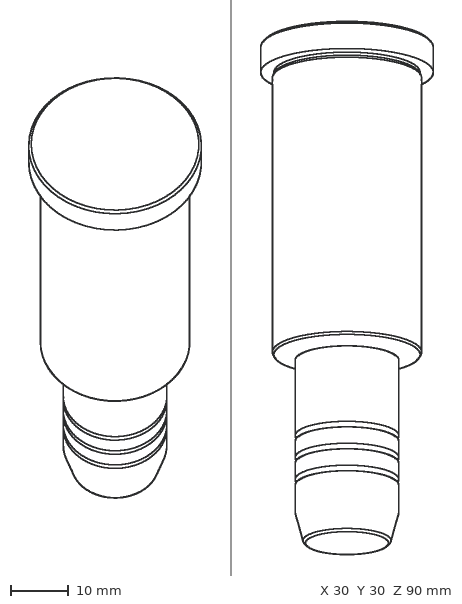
import cadquery as cq

total_height = 90.0
head_height = 5.0
shoulder_z = 34.0
taper_top_z = 5.5

head_radius = 14.985
body_radius = 13.0
body_neck_radius = 12.7
pin_radius = 9.0
taper_end_radius = 7.65

head_chamfer = 0.45
body_chamfer_height = 0.45
body_chamfer_depth = body_radius - body_neck_radius
body_neck_height = 0.5
tip_chamfer = 0.45
relief_width = 1.0

groove_width = 1.0
groove_pitch = 4.0
groove_count = 3
lowest_groove_z = 11.0

head_bottom_z = total_height - head_height
neck_bottom_z = head_bottom_z - body_neck_height


def add_groove(outline, center_z, width):
    """Continue the outline up the pin and through one half-round groove."""
    return outline.lineTo(pin_radius, center_z - width / 2).threePointArc(
        (pin_radius - width / 2, center_z),
        (pin_radius, center_z + width / 2),
    )


outline = (
    cq.Workplane("XZ")
    .lineTo(taper_end_radius - tip_chamfer, 0)
    .lineTo(taper_end_radius, tip_chamfer)
    .lineTo(pin_radius, taper_top_z)
)

for index in range(groove_count):
    outline = add_groove(outline, lowest_groove_z + index * groove_pitch, groove_width)
outline = add_groove(outline, shoulder_z - relief_width / 2, relief_width)

outline = (
    outline.lineTo(body_radius - body_chamfer_depth, shoulder_z)
    .lineTo(body_radius, shoulder_z + body_chamfer_height)
    .lineTo(body_radius, neck_bottom_z - body_chamfer_height)
    .lineTo(body_neck_radius, neck_bottom_z)
    .lineTo(body_neck_radius, head_bottom_z)
)

outline = (
    outline.lineTo(head_radius, head_bottom_z)
    .lineTo(head_radius, total_height - head_chamfer)
    .lineTo(head_radius - head_chamfer, total_height)
    .lineTo(0, total_height)
    .close()
)

result = outline.revolve(360, (0, 0, 0), (0, 1, 0))